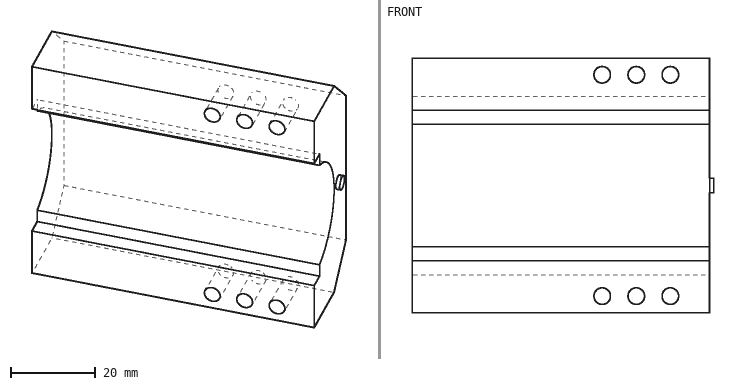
import cadquery as cq
import math

overall_length = 71.0
pin_length = 1.0
block_length = overall_length - pin_length
block_depth = 24.0
block_height = 60.0
edge_bevel = 9.0

bore_radius = 15.0
recess_half_height = 17.75
recess_depth = 4.0

hole_diameter = 3.9
hole_depth = 10.0
hole_spacing = 8.0
holes_per_row = 3
last_hole_to_end = 9.2
hole_row_height = 26.05

pin_diameter = 3.5
pin_to_back = 6.0


def make_block():
    """Rectangular block with both long back edges bevelled."""
    block = cq.Workplane("XY").box(block_length, block_depth, block_height, centered=(False, False, True))
    return block.faces(">Y").edges("|X").chamfer(edge_bevel)


def make_channel():
    """Cutter for the half-round bore and the stepped recess at its mouth."""
    lip_half_height = math.sqrt(bore_radius**2 - recess_depth**2)
    return (
        cq.Workplane("YZ")
        .moveTo(0, -recess_half_height)
        .lineTo(recess_depth, -recess_half_height)
        .lineTo(recess_depth, -lip_half_height)
        .threePointArc((bore_radius, 0), (recess_depth, lip_half_height))
        .lineTo(recess_depth, recess_half_height)
        .lineTo(0, recess_half_height)
        .close()
        .extrude(block_length)
    )


def make_holes():
    """Cutter for the two rows of blind holes."""
    last_hole_x = block_length - last_hole_to_end
    centers = [
        (last_hole_x - index * hole_spacing, side * hole_row_height)
        for index in range(holes_per_row)
        for side in (-1, 1)
    ]
    return cq.Workplane("XZ").pushPoints(centers).circle(hole_diameter / 2).extrude(-hole_depth)


def make_pin():
    """Short round pin standing on the +X end face."""
    return (
        cq.Workplane("YZ", origin=(block_length, 0, 0))
        .center(block_depth - pin_to_back, 0)
        .circle(pin_diameter / 2)
        .extrude(pin_length)
    )


result = make_block().cut(make_channel()).cut(make_holes()).union(make_pin())